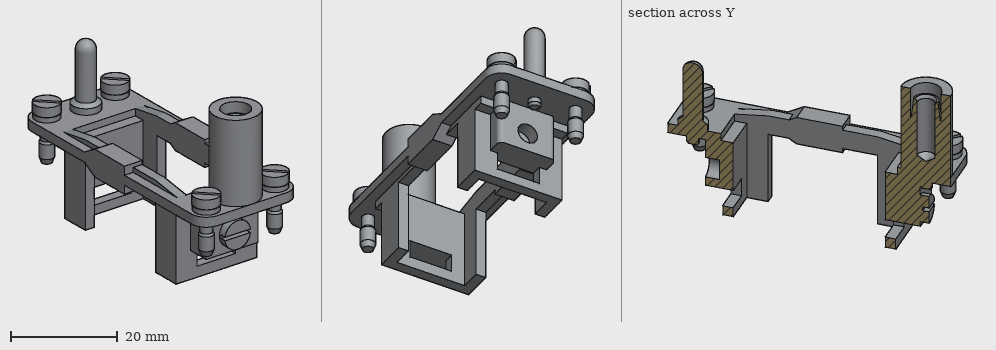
import cadquery as cq
import math

plate_length = 56.4
plate_width = 23.0
plate_thickness = 2.1
plate_corner_radius = 3.45
plate_opening_length = 35.1

frame_width = 18.9
opening_length = 30.25
opening_width = 14.65
shoulder_length = 38.9
shoulder_height = 1.7
ledge_top = 0.55
side_wall_bottom = -0.95
side_wall_crest = 3.1
crest_half_length = 10.9

leg_half_span = 17.25
leg_inner_half_span = crest_half_length
left_leg_bottom = -15.75
right_leg_bottom = -16.0
window_width = 9.0
window_bottom = -13.7

grip_top = 3.95
grip_bottom = plate_thickness - grip_top
grip_left_foot = -8.45
grip_left_shoulder = -5.2
grip_right = 3.95

block_width = 12.2
block_bottom = -10.0
block_corner_radius = 1.05
left_block_end = -20.7
right_block_end = 22.1
terminal_height = -6.0
terminal_hole_diameter = 4.2
terminal_hole_depth = 2.8
terminal_screw_diameter = 6.0
terminal_screw_height = 1.75

pin_diameter = 4.0
pin_straight_top = 14.45
collar_diameter = 6.0
collar_height = 2.05
collar_straight_height = 1.35
stub_diameter = 2.5
stub_tip_diameter = 1.7
stub_straight_length = 1.0
stub_length = 1.5
socket_diameter = 10.0
guide_half_spacing = (plate_length - socket_diameter) / 2
socket_top = 20.0
socket_mouth_diameter = collar_diameter
socket_seat_diameter = 4.9
socket_groove_depth = 4.5
socket_seat_depth = collar_height
socket_hole_diameter = 4.2
socket_bore_diameter = 3.5
socket_taper_length = 0.7
socket_bore_depth = 14.4
drill_half_angle = math.radians(59)

screw_x = 24.7
screw_y = 8.0
head_diameter = 5.5
head_neck_diameter = 5.3
head_top = 5.3
head_underside = 3.2
shank_diameter = 2.5
shank_length = 2.55
thread_diameter = 3.0
thread_top = -3.05
thread_bottom = -6.1
screw_tip_diameter = 2.1
screw_tip = -7.3
slot_width = 0.75
slot_depth = 1.25
slot_angle = 45


def box(x_range, y_range, z_range):
    """Axis-aligned block between the given limits."""
    limits = (x_range, y_range, z_range)
    sizes = [high - low for low, high in limits]
    return cq.Workplane("XY").box(*sizes, centered=False).translate([low for low, high in limits])


def centred_box(length, width, z_range):
    """Block centred on the Z axis."""
    return box((-length / 2, length / 2), (-width / 2, width / 2), z_range)


def turned(profile):
    """Solid turned about the Z axis; the profile lists (diameter, z) corners from end to end."""
    points = [(diameter / 2, z) for diameter, z in profile]
    outline = [(0, points[0][1])] + points
    if points[-1][0] > 0:
        outline.append((0, points[-1][1]))
    return cq.Workplane("XZ").polyline(outline).close().revolve(360, (0, 0), (0, 1))


def side_slab(outline, inner_y, outer_y):
    """XZ outline extruded along Y, made on both long sides of the part."""
    slab = cq.Workplane("XZ").polyline(outline).close().extrude(outer_y - inner_y)
    front = slab.translate((0, -inner_y, 0))
    return front.union(front.mirror("XZ"))


def flange_plate():
    plate = centred_box(plate_length, plate_width, (0, plate_thickness))
    plate = plate.edges("|Z").fillet(plate_corner_radius)
    return plate.cut(centred_box(plate_opening_length, opening_width, (0, plate_thickness)))


def shoulders():
    """Shoulders under the plate ends and the ledges that step into its opening."""
    z_range = (-shoulder_height, ledge_top)
    shoulder = centred_box(shoulder_length, frame_width, (-shoulder_height, 0))
    shoulder = shoulder.union(centred_box(plate_opening_length, opening_width, z_range))
    shoulder = shoulder.cut(centred_box(leg_inner_half_span * 2, frame_width, z_range))
    return shoulder.cut(centred_box(opening_length, opening_width, z_range))


def side_walls():
    wall_end = plate_opening_length / 2
    wall_outline = [
        (-wall_end, side_wall_bottom),
        (-wall_end, plate_thickness),
        (-crest_half_length, side_wall_crest),
        (crest_half_length, side_wall_crest),
        (wall_end, plate_thickness),
        (wall_end, side_wall_bottom),
    ]
    return side_slab(wall_outline, opening_width / 2, frame_width / 2)


def grips():
    outline = [
        (grip_left_foot, 0),
        (grip_left_foot, plate_thickness),
        (grip_left_shoulder, grip_top),
        (grip_right, grip_top),
        (grip_right, grip_bottom),
        (grip_left_shoulder, grip_bottom),
    ]
    return side_slab(outline, opening_width / 2, plate_width / 2)


def leg(bottom):
    """U-shaped leg at the +X end, with a window through its end wall."""
    x_range = (leg_inner_half_span, leg_half_span)
    body = box(x_range, (-frame_width / 2, frame_width / 2), (bottom, 0))
    inside = centred_box(opening_length, opening_width, (bottom, 0))
    window = box(x_range, (-window_width / 2, window_width / 2), (window_bottom, block_bottom))
    return body.cut(inside).cut(window)


def terminal_blocks():
    inner_x = opening_length / 2
    y_range = (-block_width / 2, block_width / 2)
    z_range = (block_bottom, 0)
    left = box((left_block_end, -inner_x), y_range, z_range)
    left = left.edges("|Z and <X").fillet(block_corner_radius)
    hole = cq.Workplane("YZ").circle(terminal_hole_diameter / 2).extrude(terminal_hole_depth)
    left = left.cut(hole.translate((left_block_end, 0, terminal_height)))
    return left.union(box((inner_x, right_block_end), y_range, z_range))


def terminal_screw():
    """Slotted screw head on the outer face of the +X terminal block."""
    head = cq.Workplane("YZ").circle(terminal_screw_diameter / 2).extrude(terminal_screw_height)
    slot_floor = terminal_screw_height - slot_depth
    half_length = terminal_screw_diameter / 2
    slot = box(
        (slot_floor, terminal_screw_height),
        (-half_length, half_length),
        (-slot_width / 2, slot_width / 2),
    )
    return head.cut(slot).translate((right_block_end, 0, terminal_height))


def guide_stub():
    """Chamfered end of a guide fastener below the plate."""
    return turned([
        (stub_diameter, 0),
        (stub_diameter, -stub_straight_length),
        (stub_tip_diameter, -stub_length),
    ])


def guide_pin():
    collar = turned([
        (collar_diameter, 0),
        (collar_diameter, plate_thickness + collar_straight_height),
        (pin_diameter, plate_thickness + collar_height),
        (pin_diameter, pin_straight_top),
    ])
    dome = cq.Workplane("XY").sphere(pin_diameter / 2).translate((0, 0, pin_straight_top))
    return collar.union(dome).union(guide_stub())


def guide_socket():
    """Socket with a wide mouth, a tapered groove around a recessed seat, and a drilled centre bore."""
    body = turned([(socket_diameter, 0), (socket_diameter, socket_top)])
    seat = socket_top - socket_seat_depth
    bore_bottom = socket_top - socket_bore_depth
    drill_tip_length = socket_bore_diameter / 2 / math.tan(drill_half_angle)
    bore = turned([
        (socket_mouth_diameter, socket_top),
        (socket_mouth_diameter, seat - socket_groove_depth),
        (socket_seat_diameter, seat),
        (socket_hole_diameter, seat),
        (socket_bore_diameter, seat - socket_taper_length),
        (socket_bore_diameter, bore_bottom),
        (0, bore_bottom - drill_tip_length),
    ])
    return body.cut(bore).union(guide_stub())


def corner_screw():
    screw = turned([
        (head_diameter, head_top),
        (head_diameter, head_underside),
        (head_neck_diameter, head_underside),
        (head_neck_diameter, 0),
        (shank_diameter, 0),
        (shank_diameter, -shank_length),
        (thread_diameter, thread_top),
        (thread_diameter, thread_bottom),
        (screw_tip_diameter, screw_tip),
    ])
    slot = centred_box(head_diameter, slot_width, (head_top - slot_depth, head_top))
    return screw.cut(slot.rotate((0, 0, 0), (0, 0, 1), slot_angle))


result = flange_plate().union(shoulders()).union(side_walls()).union(grips())
result = result.union(leg(right_leg_bottom)).union(leg(left_leg_bottom).mirror("YZ"))
result = result.union(terminal_blocks()).union(terminal_screw())
result = result.union(guide_pin().translate((-guide_half_spacing, 0, 0)))
result = result.union(guide_socket().translate((guide_half_spacing, 0, 0)))
for x in (-screw_x, screw_x):
    for y in (-screw_y, screw_y):
        result = result.union(corner_screw().translate((x, y, 0)))